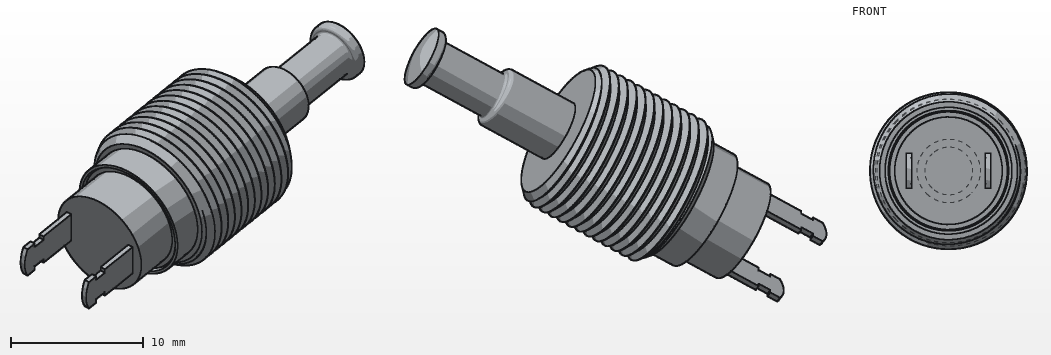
import cadquery as cq
import math


OVERALL_LENGTH = 34.7
BUTTON_TIP_Y = OVERALL_LENGTH / 2
HOUSING_FRONT_Y = 4.65
THREAD_END_Y = -5.97
COLLAR_END_Y = -8.35
CORE_END_Y = -11.8
TERMINAL_TIP_Y = -OVERALL_LENGTH / 2

HEAD_RADIUS = 2.4
HEAD_LENGTH = 1.25
DOME_HEIGHT = 0.45
SHAFT_RADIUS = 1.8
SHAFT_END_Y = 10.45
EDGE_ROUND = 0.3
ROOT_FILLET = 0.17
STEM_RADIUS = HEAD_RADIUS

THREAD_RADIUS = 5.95
THREAD_PITCH = 0.795
THREAD_DEPTH = 0.52
CREST_FLAT = 0.052
FIRST_ROOT_Y = 4.6
GROOVE_OVERCUT = 0.017
ROD_OVERRUN = 2.78
CREST_CLEARANCE = 0.7
END_FACE_RADIUS = 5.2
COLLAR_RADIUS = 4.8
RECESS_RIM_RADIUS = 4.55
RECESS_FLOOR_RADIUS = 4.45
RECESS_DEPTH = 0.25

CORE_RADIUS = 4.05

TERMINAL_SPACING = 5.97
TERMINAL_THICKNESS = 0.4
TERMINAL_WIDTH = 2.65
NOTCH_DEPTH = 0.35
NOTCH_START_Y = -15.1
NOTCH_END_Y = -16.15
TIP_SHOULDER_Y = -17.0


def cylinder(radius, start_y, end_y):
    """Cylinder on the Y axis between two stations."""
    return cq.Workplane("XZ", origin=(0, start_y, 0)).circle(radius).extrude(start_y - end_y)


def revolve_about_y(profile):
    """Turn a closed profile, drawn with X as radius, around the Y axis."""
    return profile.revolve(360, (0, 0, 0), (0, 1, 0))


def make_plunger():
    head_back_y = BUTTON_TIP_Y - HEAD_LENGTH
    dome_base_y = BUTTON_TIP_Y - DOME_HEIGHT
    sphere_radius = (HEAD_RADIUS**2 + DOME_HEIGHT**2) / (2 * DOME_HEIGHT)
    half_angle = math.asin(HEAD_RADIUS / sphere_radius) / 2
    dome_middle = (
        sphere_radius * math.sin(half_angle),
        BUTTON_TIP_Y - sphere_radius * (1 - math.cos(half_angle)),
    )
    corner_gap = 1 - math.sqrt(0.5)
    edge_gap = EDGE_ROUND * corner_gap
    root_gap = ROOT_FILLET * corner_gap

    profile = (
        cq.Workplane("XY")
        .moveTo(0, BUTTON_TIP_Y)
        .threePointArc(dome_middle, (HEAD_RADIUS, dome_base_y))
        .lineTo(HEAD_RADIUS, head_back_y + EDGE_ROUND)
        .threePointArc(
            (HEAD_RADIUS - edge_gap, head_back_y + edge_gap),
            (HEAD_RADIUS - EDGE_ROUND, head_back_y),
        )
        .lineTo(SHAFT_RADIUS + ROOT_FILLET, head_back_y)
        .threePointArc(
            (SHAFT_RADIUS + root_gap, head_back_y - root_gap),
            (SHAFT_RADIUS, head_back_y - ROOT_FILLET),
        )
        .lineTo(SHAFT_RADIUS, SHAFT_END_Y + ROOT_FILLET)
        .threePointArc(
            (SHAFT_RADIUS + root_gap, SHAFT_END_Y + root_gap),
            (SHAFT_RADIUS + ROOT_FILLET, SHAFT_END_Y),
        )
        .lineTo(STEM_RADIUS - EDGE_ROUND, SHAFT_END_Y)
        .threePointArc(
            (STEM_RADIUS - edge_gap, SHAFT_END_Y - edge_gap),
            (STEM_RADIUS, SHAFT_END_Y - EDGE_ROUND),
        )
        .lineTo(STEM_RADIUS, THREAD_END_Y)
        .lineTo(0, THREAD_END_Y)
        .close()
    )
    return revolve_about_y(profile)


def make_thread_groove():
    """Right-hand helical V groove, bounded by ruled faces between helices, that overruns both barrel ends."""
    turns = math.ceil((HOUSING_FRONT_Y - THREAD_END_Y) / THREAD_PITCH) + 2
    start_y = FIRST_ROOT_Y - (turns - 1) * THREAD_PITCH
    root_radius = THREAD_RADIUS - THREAD_DEPTH
    half_mouth = (THREAD_PITCH - CREST_FLAT) / 2
    outer_radius = THREAD_RADIUS + GROOVE_OVERCUT
    half_outer = half_mouth * (THREAD_DEPTH + GROOVE_OVERCUT) / THREAD_DEPTH
    corners = [(root_radius, 0), (outer_radius, -half_outer), (outer_radius, half_outer)]

    helices = [
        cq.Wire.makeHelix(THREAD_PITCH, turns * THREAD_PITCH, radius, center=cq.Vector(0, 0, height))
        for radius, height in corners
    ]
    sides = [
        cq.Face.makeRuledSurface(helix, following)
        for helix, following in zip(helices, helices[1:] + helices[:1])
    ]
    start_corners = [helix.startPoint() for helix in helices]
    end_corners = [helix.endPoint() for helix in helices]
    caps = [
        cq.Face.makeFromWires(cq.Wire.makePolygon(points, close=True))
        for points in (start_corners, end_corners)
    ]
    groove = cq.Solid.makeSolid(cq.Shell.makeShell(sides + caps))
    return cq.Workplane(groove).rotate((0, 0, 0), (1, 0, 0), -90).translate((0, start_y, 0))


def make_barrel():
    """Threaded barrel, cut to length from a longer rod with both ends bevelled at 45 degrees."""
    rod = cylinder(THREAD_RADIUS, HOUSING_FRONT_Y + ROD_OVERRUN, THREAD_END_Y - ROD_OVERRUN)
    threaded_rod = rod.cut(make_thread_groove())

    envelope_radius = THREAD_RADIUS + CREST_CLEARANCE
    bevel = envelope_radius - END_FACE_RADIUS
    envelope = cylinder(envelope_radius, HOUSING_FRONT_Y, THREAD_END_Y).edges("%CIRCLE").chamfer(bevel)
    return threaded_rod.intersect(envelope)


def make_recess():
    """Shallow recess with a tapered wall in the end of the collar."""
    floor_y = COLLAR_END_Y + RECESS_DEPTH
    profile = (
        cq.Workplane("XY")
        .moveTo(0, COLLAR_END_Y)
        .lineTo(RECESS_RIM_RADIUS, COLLAR_END_Y)
        .lineTo(RECESS_FLOOR_RADIUS, floor_y)
        .lineTo(0, floor_y)
        .close()
    )
    return revolve_about_y(profile)


def make_housing():
    collar = cylinder(COLLAR_RADIUS, THREAD_END_Y, COLLAR_END_Y)
    stem_bore = cylinder(STEM_RADIUS, HOUSING_FRONT_Y, THREAD_END_Y)
    core_bore = cylinder(CORE_RADIUS, THREAD_END_Y, COLLAR_END_Y)
    return make_barrel().union(collar).cut(stem_bore).cut(core_bore).cut(make_recess())


def make_core():
    return cylinder(CORE_RADIUS, THREAD_END_Y, CORE_END_Y)


def make_terminal(center_x):
    half_width = TERMINAL_WIDTH / 2
    neck = half_width - NOTCH_DEPTH
    blade = (
        cq.Workplane("YZ", origin=(center_x, 0, 0))
        .moveTo(CORE_END_Y, half_width)
        .lineTo(NOTCH_START_Y, half_width)
        .lineTo(NOTCH_START_Y, neck)
        .lineTo(NOTCH_END_Y, neck)
        .lineTo(NOTCH_END_Y, half_width)
        .lineTo(TIP_SHOULDER_Y, half_width)
        .threePointArc((TERMINAL_TIP_Y, 0), (TIP_SHOULDER_Y, -half_width))
        .lineTo(NOTCH_END_Y, -half_width)
        .lineTo(NOTCH_END_Y, -neck)
        .lineTo(NOTCH_START_Y, -neck)
        .lineTo(NOTCH_START_Y, -half_width)
        .lineTo(CORE_END_Y, -half_width)
        .close()
    )
    return blade.extrude(TERMINAL_THICKNESS / 2, both=True)


plunger = make_plunger()
housing = make_housing()
core = make_core()
terminals = [make_terminal(side * TERMINAL_SPACING / 2) for side in (-1, 1)]

result = cq.Compound.makeCompound(
    [plunger.val(), housing.val(), core.val(), *[terminal.val() for terminal in terminals]]
)